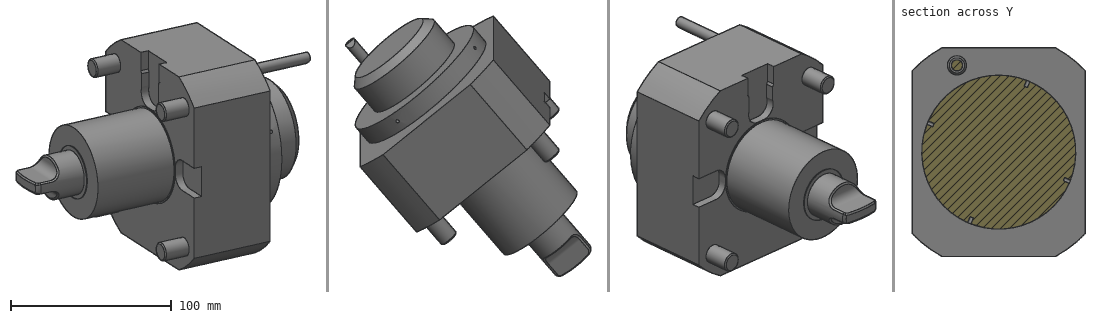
import cadquery as cq
import math


OVERALL_LENGTH = 189.7
COS_45 = math.cos(math.pi / 4)

BODY_WIDTH = 108.0
BODY_HEIGHT = 130.0
BODY_DEPTH = 55.0
BODY_CORNER_RADIUS = 74.0

FLANGE_DIAMETER = 96.0
FLANGE_BACK = 67.0
NOSE_DIAMETER = 65.0
NOSE_BACK = 91.5
NOSE_CHAMFER = 5.0

SPANNER_HOLE_DIAMETER = 2.1
SPANNER_HOLE_DEPTH = 4.0
SPANNER_HOLE_Y = 61.3
SPANNER_HOLE_COUNT = 4
SPANNER_HOLE_FIRST_ANGLE = 22.5

SHANK_DIAMETER = 60.0
SHANK_LENGTH = 55.4
SEAT_DIAMETER = 62.0
SEAT_LENGTH = 0.4
COLLAR_DIAMETER = 34.0
COLLAR_LENGTH = 0.6

SHAFT_DIAMETER = 28.5
SHAFT_SHOULDER = 73.3
TANG_TIP = 91.0
TANG_THICKNESS = 7.6
TANG_FILLET = 6.0
TANG_CROWN_RADIUS = 63.0
TANG_TIP_BEVEL = 3.0
TANG_CHAMFER_DEPTH = 0.7
TANG_CHAMFER_WIDTH = 1.2

PIN_DIAMETER = 12.0
PIN_LENGTH = 17.2
PIN_CHAMFER = 0.8
PIN_SPACING_X = 83.5
PIN_SPACING_Z = 94.0

KEYWAY_DEPTH = 5.4
KEYWAY_END = SEAT_DIAMETER / 2
KEYWAY_CORNER_RADIUS = 8.0
SIDE_KEYWAY_WIDTH = 20.0
TOP_KEYWAY_WIDTH = 20.3
TOP_KEYWAY_END_WIDTH = 21.4
TOP_KEYWAY_MOUTH_WIDTH = 22.4
TOP_KEYWAY_TAPER_START = 51.0
TOP_KEYWAY_TAPER_END = 52.7

PIPE_X = 26.0
PIPE_Z = 54.0
PIPE_DIAMETER = 7.0
PIPE_BACK = OVERALL_LENGTH - TANG_TIP
PIPE_END_BEVEL = 3.0
BALL_DIAMETER = 12.0
BALL_CENTER_Y = 55.8
BALL_BACK = 59.5


def cylinder_y(diameter, start, end, x=0.0, z=0.0):
    """Cylinder parallel to Y between two Y positions."""
    axis = cq.Vector(0, 1, 0)
    return cq.Workplane(cq.Solid.makeCylinder(diameter / 2, end - start, cq.Vector(x, start, z), axis))


def make_housing():
    block = cq.Workplane("XY").box(BODY_WIDTH, BODY_DEPTH, BODY_HEIGHT).translate((0, BODY_DEPTH / 2, 0))
    return block.intersect(cylinder_y(2 * BODY_CORNER_RADIUS, 0, BODY_DEPTH))


def make_side_keyway():
    """Keyway open to the +X side, rounded at its inner corners."""
    length = BODY_WIDTH / 2 - KEYWAY_END
    slot = cq.Workplane("XY").box(length, KEYWAY_DEPTH, SIDE_KEYWAY_WIDTH)
    slot = slot.edges("|Y and <X").fillet(KEYWAY_CORNER_RADIUS)
    return slot.translate((KEYWAY_END + length / 2, KEYWAY_DEPTH / 2, 0))


def make_top_keyway():
    """Keyway open to the top, flared at its mouth and bulging at its inner end."""
    half = TOP_KEYWAY_WIDTH / 2
    mouth = TOP_KEYWAY_MOUTH_WIDTH / 2
    arc_x = TOP_KEYWAY_END_WIDTH / 2 - KEYWAY_CORNER_RADIUS
    arc_z = KEYWAY_END + KEYWAY_CORNER_RADIUS
    arc_top = arc_z + math.sqrt(KEYWAY_CORNER_RADIUS**2 - (half - arc_x) ** 2)
    arc_mid_offset = KEYWAY_CORNER_RADIUS * COS_45
    arc_mid = (arc_x + arc_mid_offset, arc_z - arc_mid_offset)
    outline = (
        cq.Workplane("XZ")
        .moveTo(-arc_x, KEYWAY_END)
        .lineTo(arc_x, KEYWAY_END)
        .threePointArc(arc_mid, (half, arc_top))
        .lineTo(half, TOP_KEYWAY_TAPER_START)
        .lineTo(mouth, TOP_KEYWAY_TAPER_END)
        .lineTo(mouth, BODY_HEIGHT / 2)
        .lineTo(-mouth, BODY_HEIGHT / 2)
        .lineTo(-mouth, TOP_KEYWAY_TAPER_END)
        .lineTo(-half, TOP_KEYWAY_TAPER_START)
        .lineTo(-half, arc_top)
        .threePointArc((-arc_mid[0], arc_mid[1]), (-arc_x, KEYWAY_END))
        .close()
    )
    return outline.extrude(-KEYWAY_DEPTH)


def make_nose():
    flange = cylinder_y(FLANGE_DIAMETER, BODY_DEPTH, FLANGE_BACK)
    for index in range(SPANNER_HOLE_COUNT):
        angle = SPANNER_HOLE_FIRST_ANGLE + index * 360 / SPANNER_HOLE_COUNT
        direction = cq.Vector(math.cos(math.radians(angle)), 0, math.sin(math.radians(angle)))
        start = direction * (FLANGE_DIAMETER / 2 - SPANNER_HOLE_DEPTH) + cq.Vector(0, SPANNER_HOLE_Y, 0)
        hole = cq.Solid.makeCylinder(SPANNER_HOLE_DIAMETER / 2, 2 * SPANNER_HOLE_DEPTH, start, direction)
        flange = flange.cut(cq.Workplane(hole))
    nose = cylinder_y(NOSE_DIAMETER, FLANGE_BACK, NOSE_BACK).faces(">Y").chamfer(NOSE_CHAMFER)
    return flange.union(nose)


def make_drive_shaft():
    """Shaft whose end is milled to a flat tang with a crowned tip and bevelled tip corners."""
    shaft = cylinder_y(SHAFT_DIAMETER, -TANG_TIP, -SHANK_LENGTH)
    shaft = shaft.faces("<Y").chamfer(TANG_TIP_BEVEL)
    radius = SHAFT_DIAMETER / 2
    flat = TANG_THICKNESS / 2
    fillet_mid = TANG_FILLET * (1 - COS_45)
    cutter = (
        cq.Workplane("YZ")
        .moveTo(-SHAFT_SHOULDER, radius)
        .lineTo(-SHAFT_SHOULDER, flat + TANG_FILLET)
        .threePointArc(
            (-SHAFT_SHOULDER - fillet_mid, flat + fillet_mid),
            (-SHAFT_SHOULDER - TANG_FILLET, flat),
        )
        .lineTo(-TANG_TIP, flat)
        .lineTo(-TANG_TIP, radius)
        .close()
        .extrude(radius, both=True)
    )
    shaft = shaft.cut(cutter).cut(cutter.mirror("XY"))
    crown = (
        cq.Workplane("XY")
        .center(0, TANG_CROWN_RADIUS - TANG_TIP)
        .circle(TANG_CROWN_RADIUS)
        .extrude(radius, both=True)
    )
    shaft = shaft.intersect(crown)
    milled_end = cq.selectors.BoxSelector(
        (-radius, -TANG_TIP, -radius),
        (radius, -SHAFT_SHOULDER + TANG_CHAMFER_WIDTH, radius),
    )
    return shaft.edges(milled_end).chamfer(TANG_CHAMFER_DEPTH, TANG_CHAMFER_WIDTH)


def make_pin(x, z):
    return cylinder_y(PIN_DIAMETER, -PIN_LENGTH, 0, x, z).faces("<Y").chamfer(PIN_CHAMFER)


def make_pipe():
    ball = cq.Workplane("XY").sphere(BALL_DIAMETER / 2).translate((PIPE_X, BALL_CENTER_Y, PIPE_Z))
    ball = ball.intersect(cylinder_y(BALL_DIAMETER, BODY_DEPTH, BALL_BACK, PIPE_X, PIPE_Z))
    pipe = cylinder_y(PIPE_DIAMETER, BODY_DEPTH, PIPE_BACK, PIPE_X, PIPE_Z)
    bottom = PIPE_Z - PIPE_DIAMETER / 2
    bevel = (
        cq.Workplane("YZ")
        .polyline(
            [
                (PIPE_BACK - PIPE_END_BEVEL, bottom),
                (PIPE_BACK, bottom),
                (PIPE_BACK, bottom + PIPE_END_BEVEL),
            ]
        )
        .close()
        .extrude(BODY_WIDTH)
    )
    return ball.union(pipe.cut(bevel))


housing = make_housing()
side_keyway = make_side_keyway()
housing = housing.cut(side_keyway).cut(side_keyway.mirror("YZ")).cut(make_top_keyway())

result = housing.union(make_nose())
result = result.union(cylinder_y(SEAT_DIAMETER, -SEAT_LENGTH, 0))
result = result.union(cylinder_y(SHANK_DIAMETER, -SHANK_LENGTH, 0))
result = result.union(cylinder_y(COLLAR_DIAMETER, -SHANK_LENGTH - COLLAR_LENGTH, -SHANK_LENGTH))
result = result.union(make_drive_shaft())
for pin_x in (-PIN_SPACING_X / 2, PIN_SPACING_X / 2):
    for pin_z in (-PIN_SPACING_Z / 2, PIN_SPACING_Z / 2):
        result = result.union(make_pin(pin_x, pin_z))
result = result.union(make_pipe())